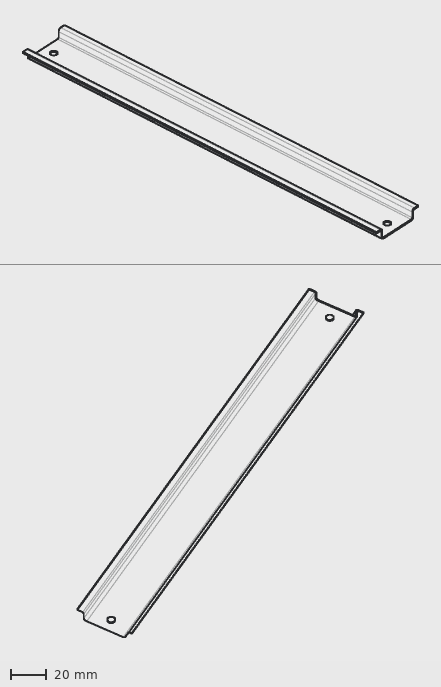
import cadquery as cq

length = 265.0
width = 35.0
height = 7.5
thickness = 1.0

base_width = 27.0
inner_bend_radius = 0.8
outer_bend_radius = inner_bend_radius + thickness

hole_diameter = 4.5
hole_end_distance = 7.5

web_outside = base_width / 2
web_inside = web_outside - thickness
flange_underside = height - thickness
hole_x = length / 2 - hole_end_distance


def bar_between(y_low, y_high, z_low, z_high):
    """Full-length bar filling the given Y and Z ranges, centred on X = 0."""
    bar = cq.Workplane("XY").box(length, y_high - y_low, z_high - z_low, centered=(True, False, False))
    return bar.translate((0, y_low, z_low))


def sharp_rail():
    """Flat base, two upright webs and two outward flanges, before bending radii."""
    base = bar_between(-web_outside, web_outside, 0, thickness)
    web = bar_between(web_inside, web_outside, 0, height)
    flange = bar_between(web_inside, width / 2, flange_underside, height)
    side = web.union(flange)
    return base.union(side).union(side.mirror("XZ"))


def round_bend_edges(body, y, z, radius):
    """Fillet the two full-length edges that lie at +y and -y on height z."""
    for side_y in (-y, y):
        nearest_edge = cq.selectors.NearestToPointSelector((0, side_y, z))
        body = body.edges("|X").edges(nearest_edge).fillet(radius)
    return body


def bent_rail():
    """Rail with every bend rounded at constant sheet thickness."""
    body = sharp_rail()
    body = round_bend_edges(body, web_inside, thickness, inner_bend_radius)
    body = round_bend_edges(body, web_outside, 0, outer_bend_radius)
    body = round_bend_edges(body, web_outside, flange_underside, inner_bend_radius)
    body = round_bend_edges(body, web_inside, height, outer_bend_radius)
    return body


def mounting_holes():
    """Vertical cylinders through the base, one near each end."""
    centres = [(-hole_x, 0), (hole_x, 0)]
    return cq.Workplane("XY").pushPoints(centres).circle(hole_diameter / 2).extrude(thickness)


result = bent_rail().cut(mounting_holes())